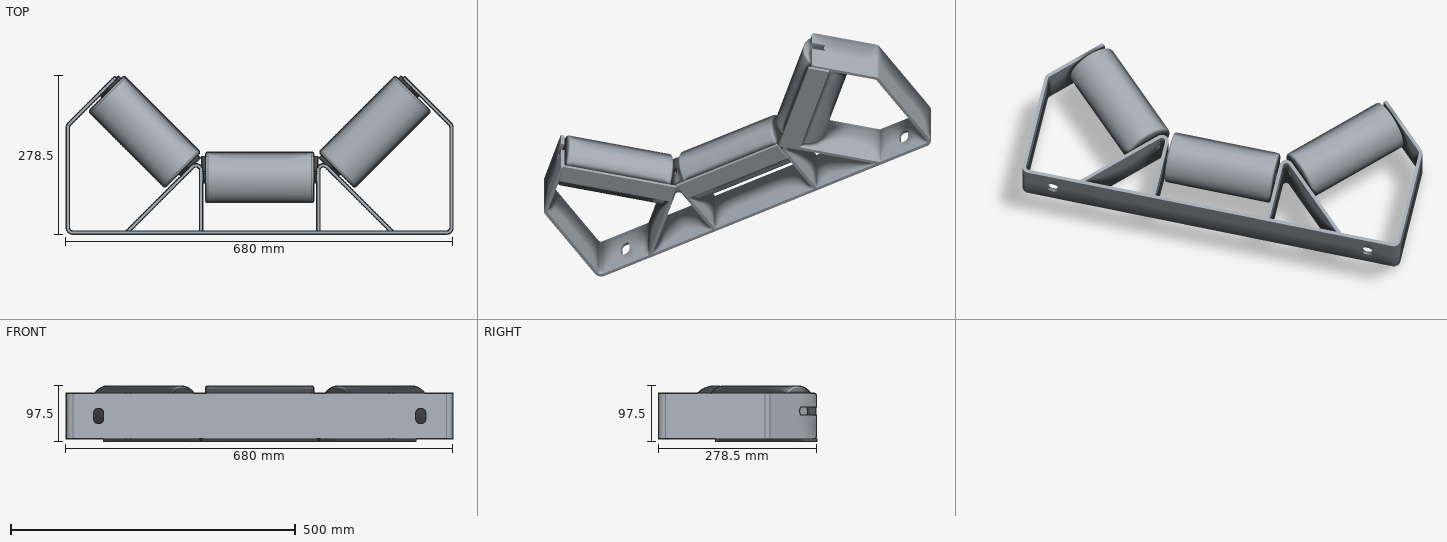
import cadquery as cq
import math

frame_length = 680.0
frame_height = 80.0
bar_thickness = 6.0
bend_radius = 12.0
frame_side_height = 192.58
wing_angle = 45.0

roller_diameter = 89.0
roller_length = 190.0
roller_edge_radius = 4.0
shaft_diameter = 20.0
shaft_flat_width = 14.0
end_gap = 5.0
neck_length = 2.5
axis_z = 48.5
middle_axis_y = 100.0
wing_center_x = 202.5
arm_reach = 32.0
arm_corner = 5.0

plate_length = 204.0
plate_width = 37.0
plate_thickness = 4.5

mount_spacing = 566.0
mount_width = 18.0
mount_height = 27.0

span = roller_length + 2 * end_gap
shaft_length = span + 2 * bar_thickness
slot_run = arm_reach + shaft_diameter
bar_line = (span + bar_thickness) / 2
half_length = frame_length / 2
tilt = math.radians(wing_angle)
wing_center_y = (
    frame_side_height
    + (half_length - wing_center_x) * math.tan(tilt)
    - shaft_length / 2 / math.cos(tilt)
)


def wing_point(side, along, across):
    """Point set from a wing roller centre: along the axis outwards, and across it upwards."""
    x = wing_center_x + along * math.cos(tilt) - across * math.sin(tilt)
    y = wing_center_y + along * math.sin(tilt) + across * math.cos(tilt)
    return (side * x, y)


def bent_bar(corners):
    """Flat bar standing on edge, bent along the given centreline corners."""
    radius = bend_radius - bar_thickness / 2
    points = [cq.Vector(x, y, 0) for x, y in corners]
    first_direction = (points[1] - points[0]).normalized()
    path = cq.Workplane("XY").moveTo(*corners[0])
    for before, corner, after in zip(points, points[1:], points[2:]):
        back = (before - corner).normalized()
        ahead = (after - corner).normalized()
        half_angle = back.getAngle(ahead) / 2
        setback = radius / math.tan(half_angle)
        to_arc = radius / math.sin(half_angle) - radius
        arc_start = corner + back * setback
        arc_middle = corner + (back + ahead).normalized() * to_arc
        arc_end = corner + ahead * setback
        path = path.lineTo(arc_start.x, arc_start.y)
        path = path.threePointArc((arc_middle.x, arc_middle.y), (arc_end.x, arc_end.y))
    path = path.lineTo(*corners[-1])
    start = cq.Plane(origin=points[0].toTuple(), xDir=(0, 0, 1), normal=first_direction.toTuple())
    bar = cq.Workplane(start).rect(frame_height, bar_thickness).sweep(path)
    return bar.translate((0, 0, frame_height / 2))


def place(shape, center, angle):
    """Turn a shape modelled along X about Z and move it to a roller centre."""
    return shape.rotate((0, 0, 0), (0, 0, 1), angle).translate((center[0], center[1], 0))


def cylinder(diameter, length):
    """Cylinder along X, centred lengthwise, at the height of the roller axes."""
    return cq.Workplane("YZ", origin=(-length / 2, 0, axis_z)).circle(diameter / 2).extrude(length)


def shaft_bar(length):
    """Shaft along X with flats above and below."""
    rod = cylinder(shaft_diameter, length)
    flats = cq.Workplane("XY").box(length, shaft_diameter, shaft_flat_width).translate((0, 0, axis_z))
    return rod.intersect(flats)


def shaft_slots():
    """Cutter for the two open slots that take the shaft ends, opening away from the frame back."""
    throat = (
        cq.Workplane("XY")
        .box(shaft_length, slot_run, shaft_flat_width)
        .translate((0, slot_run / 2, axis_z))
    )
    between = cq.Workplane("XY").box(span, 3 * slot_run, frame_height).translate((0, 0, axis_z))
    return shaft_bar(shaft_length).union(throat).cut(between)


def roller():
    """Roller with rounded rims, round shaft necks and flattened shaft ends."""
    barrel = cylinder(roller_diameter, roller_length).edges("%CIRCLE").fillet(roller_edge_radius)
    necks = cylinder(shaft_diameter, roller_length + 2 * neck_length)
    return barrel.union(necks).union(shaft_bar(shaft_length))


def base_plate():
    """Flat plate under one roller, reaching from its axis towards the open side."""
    plate = cq.Workplane("XY").box(plate_length, plate_width, plate_thickness)
    return plate.translate((0, plate_width / 2, -plate_thickness / 2))


stations = [
    ((0, middle_axis_y), 0),
    ((wing_center_x, wing_center_y), wing_angle),
    ((-wing_center_x, wing_center_y), -wing_angle),
]


def cut_shaft_slots(bar):
    """Cut the shaft slots of every roller that reaches this bar."""
    for center, angle in stations:
        bar = bar.cut(place(shaft_slots(), center, angle))
    return bar


def frame():
    """Frame back, two sides and two inclined arms in one bent bar."""
    middle = bar_thickness / 2
    side_x = half_length - middle
    arm_end = wing_point(1, bar_line, arm_reach)
    knee = (side_x, arm_end[1] - (side_x - arm_end[0]) / math.tan(tilt))
    right = [(side_x, middle), knee, arm_end]
    left = [(-x, y) for x, y in reversed(right)]
    bar = bent_bar(left + right)
    bar = bar.faces(">Y").edges("not |Z").fillet(arm_corner)
    mounts = (
        cq.Workplane("XZ")
        .center(0, frame_height / 2)
        .pushPoints([(-mount_spacing / 2, 0), (mount_spacing / 2, 0)])
        .slot2D(mount_height, mount_width, 90)
        .extrude(-bar_thickness)
    )
    return cut_shaft_slots(bar.cut(mounts))


def bracket(side):
    """Bar folded to a sharp V that carries the inner ends of two neighbouring shafts."""
    foot = wing_point(side, -bar_line, -wing_center_y / math.cos(tilt))
    wing_leg = wing_point(side, -bar_line, 0)
    apex_y = wing_leg[1] + (abs(wing_leg[0]) - bar_line) / math.tan(tilt)
    bar = bent_bar([foot, (side * bar_line, apex_y), (side * bar_line, 0)])
    trim = cq.Workplane("XY").box(frame_length, frame_length, 3 * frame_height)
    below = trim.translate((0, bar_thickness - frame_length / 2, 0))
    return cut_shaft_slots(bar.cut(below))


rollers = [place(roller(), center, angle) for center, angle in stations]
base_plates = [place(base_plate(), center, angle) for center, angle in stations]
brackets = [bracket(side) for side in (-1, 1)]
bodies = [frame()] + brackets + rollers + base_plates
result = cq.Compound.makeCompound([body.solids().val() for body in bodies])